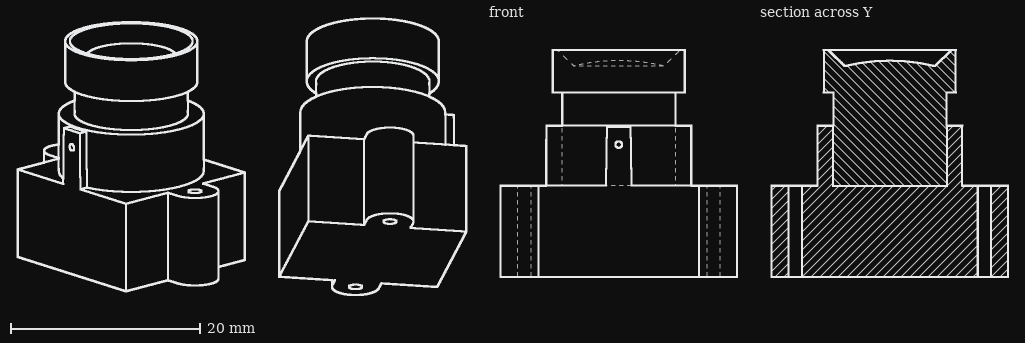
import cadquery as cq

base_width = 17.0
base_height = 9.68
lug_pitch = 20.0
lug_diameter = 5.0
lug_hole_diameter = 1.4

collar_diameter = 15.35
collar_top = 16.0

tab_top = 15.85
tab_bottom_width = 2.7
tab_top_width = 2.5
tab_hole_diameter = 0.7
tab_hole_height = 14.0

barrel_diameter = 12.0
head_diameter = 14.0
head_bottom = 19.5
lens_top = 24.0
dish_diameter = 13.0
dish_depth = 1.68
glass_diameter = 9.55
glass_rise = 0.58


def cylinder(diameter, bottom, top):
    """Vertical cylinder on the optical axis."""
    return cq.Workplane("XY").workplane(offset=bottom).circle(diameter / 2).extrude(top - bottom)


def make_base():
    """Square block with two drilled, round-ended side lugs, all full height."""
    block = cq.Workplane("XY").rect(base_width, base_width).extrude(base_height)
    lugs = cq.Workplane("XY").slot2D(lug_pitch + lug_diameter, lug_diameter).extrude(base_height)
    lug_holes = (
        cq.Workplane("XY")
        .pushPoints([(-lug_pitch / 2, 0), (lug_pitch / 2, 0)])
        .circle(lug_hole_diameter / 2)
        .extrude(base_height)
    )
    return block.union(lugs).cut(lug_holes)


def make_tab():
    """Tapered tab flush with the front face, reaching back into the collar wall."""
    front_y = -base_width / 2
    back_y = -(collar_diameter + barrel_diameter) / 4
    tab_thickness = back_y - front_y
    tab_hole_depth = -collar_diameter / 2 - front_y
    front_plane = cq.Workplane("XZ", origin=(0, front_y, 0))
    tab = front_plane.polyline([
        (-tab_bottom_width / 2, base_height),
        (tab_bottom_width / 2, base_height),
        (tab_top_width / 2, tab_top),
        (-tab_top_width / 2, tab_top),
    ]).close().extrude(-tab_thickness)
    hole = (
        front_plane.center(0, tab_hole_height)
        .circle(tab_hole_diameter / 2)
        .extrude(-tab_hole_depth)
    )
    return tab, hole


def make_housing():
    """Base, collar and tab, bored through the collar for the lens barrel."""
    tab, tab_hole = make_tab()
    collar = cylinder(collar_diameter, base_height, collar_top)
    bore = cylinder(barrel_diameter, base_height, collar_top)
    return make_base().union(collar).union(tab).cut(bore).cut(tab_hole)


def make_lens():
    """Revolved lens that sits in the collar bore on top of the base."""
    barrel_radius = barrel_diameter / 2
    head_radius = head_diameter / 2
    dish_radius = dish_diameter / 2
    glass_radius = glass_diameter / 2
    glass_edge = lens_top - dish_depth
    sphere_radius = (glass_radius**2 + glass_rise**2) / (2 * glass_rise)
    glass_crown = glass_edge + glass_rise
    half_radius = glass_radius / 2
    half_height = glass_crown - sphere_radius + (sphere_radius**2 - half_radius**2) ** 0.5
    return (
        cq.Workplane("XZ")
        .moveTo(0, base_height)
        .lineTo(barrel_radius, base_height)
        .lineTo(barrel_radius, head_bottom)
        .lineTo(head_radius, head_bottom)
        .lineTo(head_radius, lens_top)
        .lineTo(dish_radius, lens_top)
        .lineTo(glass_radius, glass_edge)
        .threePointArc((half_radius, half_height), (0, glass_crown))
        .close()
        .revolve(360, (0, 0, 0), (0, 1, 0))
    )


housing = make_housing()
lens = make_lens()
result = cq.Compound.makeCompound([housing.val(), lens.val()])